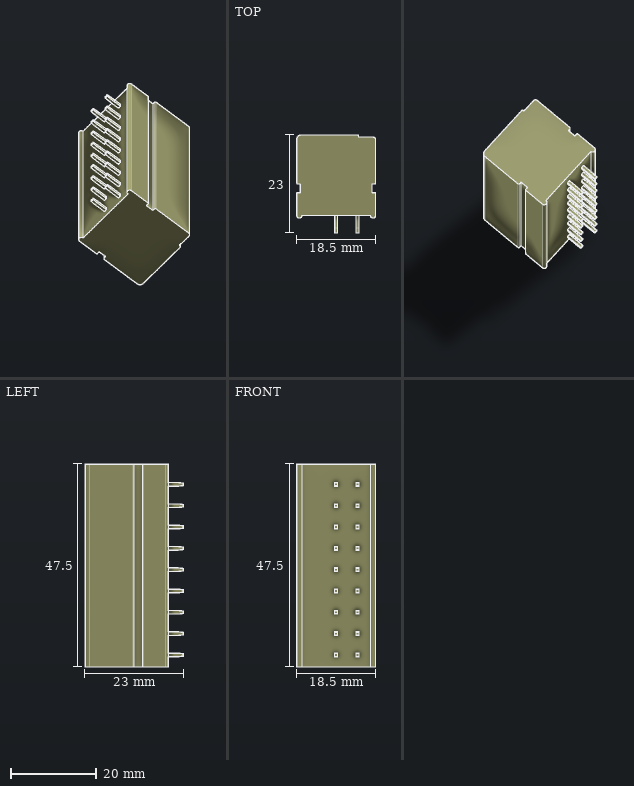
import cadquery as cq

height = 47.5
width = 18.5
total_depth = 23.0
body_depth = 18.85
back_step = 0.48
back_step_x = 5.22
left_corner_radius = 1.0
right_corner_radius = 0.55
step_corner_radius = 0.2

groove_start = 11.5
groove_width = 2.0
groove_depth = 0.8
back_lip_radius = 0.3
front_lip_radius = 0.15

rib_radius = 0.6

pin_pitch = 5.0
pin_columns = 2
pin_rows = 9
pin_width = 0.7
pin_height = 0.9
pin_tip_length = 1.2
pin_tip_height = 0.6
pin_row_offset = -0.95

half_width = width / 2
front_y = -body_depth


def round_corner(body, x, y, radius):
    """Round the vertical housing edge that passes through (x, y)."""
    edge = cq.selectors.NearestToPointSelector((x, y, height / 2))
    return body.edges("|Z").edges(edge).fillet(radius)


def make_housing():
    """Stepped block with its back at y = 0, side grooves and rounded vertical edges."""
    body = (
        cq.Workplane("XY")
        .moveTo(-half_width, 0)
        .lineTo(back_step_x, 0)
        .lineTo(back_step_x, -back_step)
        .lineTo(half_width, -back_step)
        .lineTo(half_width, front_y)
        .lineTo(-half_width, front_y)
        .close()
        .extrude(height)
    )
    groove_center_y = -groove_start - groove_width / 2
    grooves = (
        cq.Workplane("XY")
        .pushPoints([(-half_width, groove_center_y), (half_width, groove_center_y)])
        .rect(2 * groove_depth, groove_width)
        .extrude(height)
    )
    body = body.cut(grooves)
    body = round_corner(body, -half_width, 0, left_corner_radius)
    body = round_corner(body, half_width, -back_step, right_corner_radius)
    body = round_corner(body, back_step_x, 0, step_corner_radius)
    for side_x in (-half_width, half_width):
        body = round_corner(body, side_x, -groove_start, back_lip_radius)
        body = round_corner(body, side_x, -groove_start - groove_width, front_lip_radius)
    return body


def make_ribs():
    """Round bars centred on the front face, so half of each stands proud."""
    rib_x = half_width - rib_radius
    return (
        cq.Workplane("XY")
        .pushPoints([(-rib_x, front_y), (rib_x, front_y)])
        .circle(rib_radius)
        .extrude(height)
    )


def make_pin(x, z):
    """Flat-sided pin along -Y whose tip narrows in Z."""
    shoulder_y = -total_depth + pin_tip_length
    return (
        cq.Workplane("YZ", origin=(x, 0, z))
        .moveTo(front_y, -pin_height / 2)
        .lineTo(shoulder_y, -pin_height / 2)
        .lineTo(-total_depth, -pin_tip_height / 2)
        .lineTo(-total_depth, pin_tip_height / 2)
        .lineTo(shoulder_y, pin_height / 2)
        .lineTo(front_y, pin_height / 2)
        .close()
        .extrude(pin_width / 2, both=True)
    )


result = make_housing().union(make_ribs())

middle_row_z = height / 2 + pin_row_offset
for column in range(pin_columns):
    for row in range(pin_rows):
        row_z = middle_row_z + (row - (pin_rows - 1) / 2) * pin_pitch
        result = result.union(make_pin(column * pin_pitch, row_z))